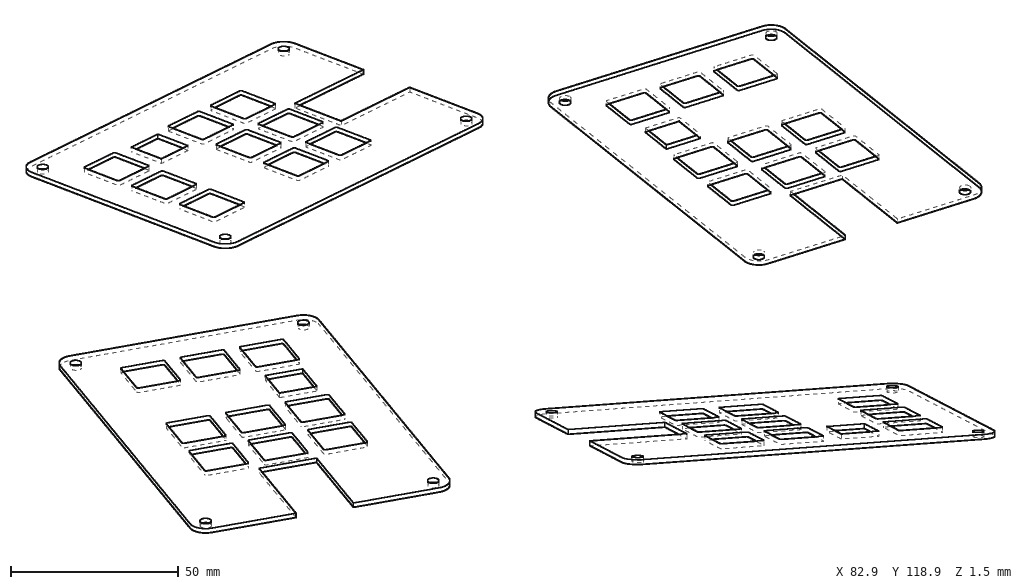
import cadquery as cq

plate_width = 82.91
plate_length = 118.94
plate_thickness = 1.5
corner_radius = 5.0

screw_hole_diameter = 3.4
screw_spacing_x = plate_width - 2 * corner_radius
screw_spacing_y = plate_length - 2 * corner_radius

key_pitch = 19.05
key_opening = 14.0
key_corner_radius = 0.5
first_column_x = -20.0
first_row_y = 17.4
key_columns = (0, 1, 2)
key_rows = (0, 1, 3)

encoder_row = 2
encoder_opening = 12.0
encoder_x = -19.6

notch_width = 18.4
notch_depth = 31.0
notch_center_x = 0.2


def row_y(row):
    """Y of the centre of a grid row."""
    return first_row_y - row * key_pitch


def column_x(column):
    """X of the centre of a grid column."""
    return first_column_x + column * key_pitch


def through_block(width, length, x, y):
    """Rectangular cutter through the plate, centred on (x, y)."""
    return cq.Workplane("XY").center(x, y).rect(width, length).extrude(plate_thickness)


def make_plate():
    """Rounded plate with a mounting hole in each corner."""
    plate = cq.Workplane("XY").rect(plate_width, plate_length).extrude(plate_thickness)
    plate = plate.edges("|Z").fillet(corner_radius)
    plate = plate.faces(">Z").workplane(origin=(0, 0, 0))
    plate = plate.rect(screw_spacing_x, screw_spacing_y, forConstruction=True).vertices()
    return plate.hole(screw_hole_diameter)


def cut_key_openings(plate):
    """Rounded square opening for every key switch."""
    for row in key_rows:
        for column in key_columns:
            cutter = through_block(key_opening, key_opening, column_x(column), row_y(row))
            plate = plate.cut(cutter.edges("|Z").fillet(key_corner_radius))
    return plate


def cut_encoder_opening(plate):
    """Sharp-cornered square opening for the rotary encoder."""
    return plate.cut(through_block(encoder_opening, encoder_opening, encoder_x, row_y(encoder_row)))


def cut_notch(plate):
    """Rectangular notch running in from the +Y edge."""
    notch_center_y = (plate_length - notch_depth) / 2
    return plate.cut(through_block(notch_width, notch_depth, notch_center_x, notch_center_y))


result = cut_notch(cut_encoder_opening(cut_key_openings(make_plate())))